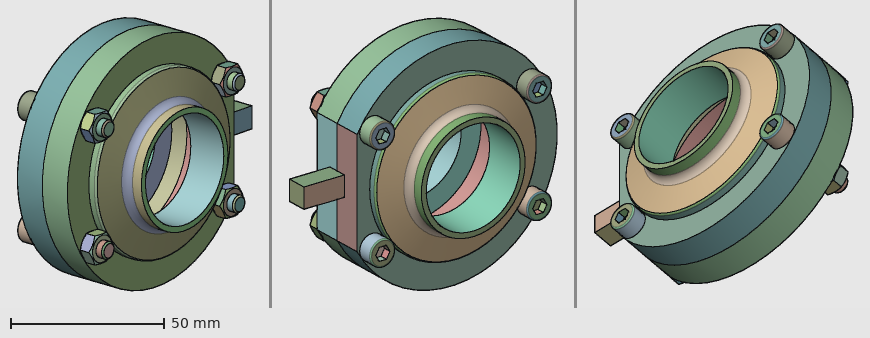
import cadquery as cq
import math


overall_length = 47.0
flange_diameter = 86.5
overall_width = 97.5

flange_thickness = 11.0
flat_offset = 37.8

boss_diameter = 65.5
boss_cylinder_length = 2.3
boss_rounding_length = 0.9
cone_outer_diameter = 64.5
cone_inner_diameter = 46.0
cone_length = 2.3
neck_fillet_length = 3.0

pipe_diameter = 42.0
bore_diameter = 38.0

pocket_diameter = 54.0
head_side_pocket_depth = 6.6
nut_side_pocket_depth = 9.0

screw_y = 31.8
screw_z = 21.0

head_diameter = 10.0
head_height = 5.9
head_fillet = 0.5
socket_across_flats = 5.0
socket_depth = 3.0
shank_diameter = 6.0
shank_projection = 8.0
shank_chamfer = 0.6

nut_across_flats = 10.0
nut_height = 5.0
nut_outer_face_diameter = 9.4
nut_seat_diameter = 9.7
nut_chamfer_angle = 30.0

stem_side = 8.0


def corner_diameter(across_flats):
    """Diameter over the corners of a regular hexagon."""
    return across_flats / math.cos(math.pi / 6)


def screw_points():
    """The four screw positions as (y, z) pairs."""
    return [(y, z) for y in (-screw_y, screw_y) for z in (-screw_z, screw_z)]


def flange_half(pocket_depth):
    """Half of the valve body on the +X side, without fasteners."""
    boss_edge_x = flange_thickness + boss_cylinder_length
    cone_start_x = boss_edge_x + boss_rounding_length
    cone_end_x = cone_start_x + cone_length
    pipe_start_x = cone_end_x + neck_fillet_length
    pipe_end_x = overall_length / 2

    neck_rise = (cone_inner_diameter - pipe_diameter) / 2
    neck_fillet_radius = (neck_fillet_length**2 + neck_rise**2) / (2 * neck_rise)

    flange = cq.Workplane("YZ").circle(flange_diameter / 2).extrude(flange_thickness)
    beyond_flat = (
        cq.Workplane("XY")
        .box(flange_diameter, flange_diameter, flange_diameter)
        .translate((0, flat_offset + flange_diameter / 2, 0))
    )
    flange = flange.cut(beyond_flat)

    hub = (
        cq.Workplane("XY")
        .moveTo(0, 0)
        .lineTo(0, boss_diameter / 2)
        .lineTo(boss_edge_x, boss_diameter / 2)
        .tangentArcPoint((cone_start_x, cone_outer_diameter / 2), relative=False)
        .lineTo(cone_end_x, cone_inner_diameter / 2)
        .radiusArc((pipe_start_x, pipe_diameter / 2), -neck_fillet_radius)
        .lineTo(pipe_end_x, pipe_diameter / 2)
        .lineTo(pipe_end_x, 0)
        .close()
        .revolve(360, (0, 0, 0), (1, 0, 0))
    )
    bore = cq.Workplane("YZ").circle(bore_diameter / 2).extrude(pipe_end_x)
    pocket = cq.Workplane("YZ").circle(pocket_diameter / 2).extrude(pocket_depth)
    return flange.union(hub).cut(bore).cut(pocket)


def screw_head():
    """Socket head along -X, with its underside at the origin."""
    return (
        cq.Workplane("YZ")
        .circle(head_diameter / 2)
        .extrude(-head_height)
        .faces("<X")
        .edges()
        .fillet(head_fillet)
        .faces("<X")
        .workplane(origin=(-head_height, 0, 0))
        .polygon(6, corner_diameter(socket_across_flats))
        .cutBlind(-socket_depth)
    )


def nut_with_screw_end():
    """Nut along +X with its seat at the origin, and the screw end that passes through it."""
    corner_radius = corner_diameter(nut_across_flats) / 2
    outer_radius = nut_outer_face_diameter / 2
    seat_radius = nut_seat_diameter / 2
    slope = math.tan(math.radians(nut_chamfer_angle))
    chamfer_envelope = (
        cq.Workplane("XY")
        .moveTo(0, 0)
        .lineTo(0, seat_radius)
        .lineTo((corner_radius - seat_radius) * slope, corner_radius)
        .lineTo(nut_height - (corner_radius - outer_radius) * slope, corner_radius)
        .lineTo(nut_height, outer_radius)
        .lineTo(nut_height, 0)
        .close()
        .revolve(360, (0, 0, 0), (1, 0, 0))
    )
    hexagon = cq.Workplane("YZ").polygon(6, 2 * corner_radius).extrude(nut_height)
    screw_end = (
        cq.Workplane("YZ")
        .circle(shank_diameter / 2)
        .extrude(shank_projection)
        .faces(">X")
        .chamfer(shank_chamfer)
    )
    return hexagon.intersect(chamfer_envelope).union(screw_end)


def make_head_half():
    """Half of the valve body on the -X side, carrying the screw heads."""
    body = flange_half(head_side_pocket_depth).mirror("YZ")
    for y, z in screw_points():
        body = body.union(screw_head().translate((-flange_thickness, y, z)))
    return body


def make_nut_half():
    """Half of the valve body on the +X side, carrying the nuts and screw ends."""
    body = flange_half(nut_side_pocket_depth)
    for y, z in screw_points():
        body = body.union(nut_with_screw_end().translate((flange_thickness, y, z)))
    return body


def make_stem():
    """Square stem standing on the flat of the flange, centred on the joint."""
    stem_length = overall_width - flange_diameter / 2 - flat_offset
    return (
        cq.Workplane("XZ", origin=(0, flat_offset, 0))
        .rect(stem_side, stem_side)
        .extrude(-stem_length)
    )


head_half = make_head_half()
nut_half = make_nut_half()
stem = make_stem()

result = cq.Compound.makeCompound([head_half.val(), nut_half.val(), stem.val()])